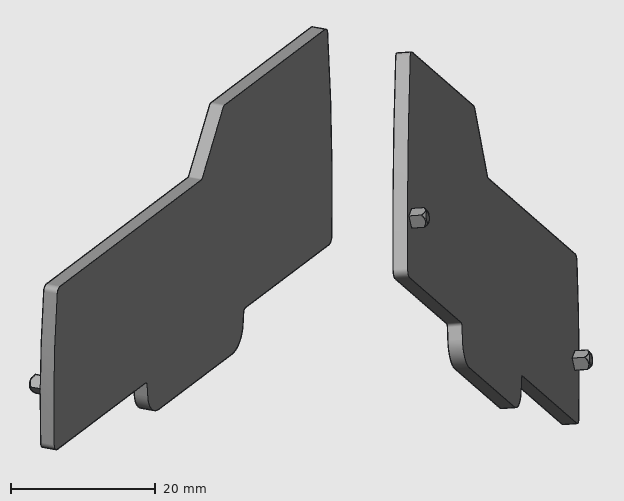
import cadquery as cq
import math

length = 87.21
height = 37.8
total_depth = 4.4
plate_thickness = 2.1
peg_length = total_depth - plate_thickness

plate_bottom_z = 5.4
shoulder_z = 29.3
bulge_z = 12.5
half_length = length / 2
tall_end_radius = 214.0
low_end_radius = 118.0

slope_top_y = 9.6
slope_bottom_y = 2.8

tab_center_y = 0.77
tab_root_half_width = 15.2
tab_tip_half_width = 14.55

top_corner_radius = 0.9
bottom_corner_radius = 1.0
slope_top_radius = 0.7
slope_bottom_radius = 0.4
tab_root_radius = 0.5
tab_tip_radius = 3.5

peg_spacing = 82.9
peg_center_y = 0.04
peg_z = 14.1
peg_diagonal = 2.8
peg_tip_radius = 0.85
peg_tip_length = 0.5


def bow(radius, z):
    """Inward offset of a bowed end edge at level z."""
    return radius - math.sqrt(radius**2 - (z - bulge_z) ** 2)


def bowed_point(side, radius, z):
    """Point on the bowed end edge; side is +1 for +Y and -1 for -Y."""
    return (side * (half_length - bow(radius, z)), z)


def make_plate():
    """Flat plate with bowed ends, a sloped step on top and a tab underneath."""
    tall_top = bowed_point(1, tall_end_radius, height)
    low_top = bowed_point(-1, low_end_radius, shoulder_z)
    tall_bottom = bowed_point(1, tall_end_radius, plate_bottom_z)
    low_bottom = bowed_point(-1, low_end_radius, plate_bottom_z)
    slope_top = (slope_top_y, height)
    slope_bottom = (slope_bottom_y, shoulder_z)
    tab_roots = [(tab_center_y + side * tab_root_half_width, plate_bottom_z) for side in (-1, 1)]
    tab_tips = [(tab_center_y + side * tab_tip_half_width, 0) for side in (-1, 1)]

    plate = (
        cq.Workplane("YZ")
        .moveTo(*tall_bottom)
        .threePointArc((half_length, bulge_z), tall_top)
        .lineTo(*slope_top)
        .lineTo(*slope_bottom)
        .lineTo(*low_top)
        .threePointArc((-half_length, bulge_z), low_bottom)
        .lineTo(*tab_roots[0])
        .lineTo(*tab_tips[0])
        .lineTo(*tab_tips[1])
        .lineTo(*tab_roots[1])
        .close()
        .extrude(plate_thickness)
    )

    corner_fillets = [
        (top_corner_radius, [tall_top, low_top]),
        (bottom_corner_radius, [tall_bottom, low_bottom]),
        (slope_top_radius, [slope_top]),
        (slope_bottom_radius, [slope_bottom]),
        (tab_root_radius, tab_roots),
        (tab_tip_radius, tab_tips),
    ]
    mid_x = plate_thickness / 2
    for radius, corners in corner_fillets:
        for y, z in corners:
            corner_edge = cq.selectors.NearestToPointSelector((mid_x, y, z))
            plate = plate.edges("|X").edges(corner_edge).fillet(radius)
    return plate


def make_peg(y):
    """Square peg on the -X face, trimmed by a cone at its free end."""
    corner_radius = peg_diagonal / 2
    bar = (
        cq.Workplane("YZ", origin=(-peg_length, y, peg_z))
        .polygon(4, peg_diagonal)
        .extrude(peg_length)
    )
    envelope = (
        cq.Workplane("XY")
        .lineTo(0, peg_tip_radius)
        .lineTo(peg_tip_length, corner_radius)
        .lineTo(peg_length, corner_radius)
        .lineTo(peg_length, 0)
        .close()
        .revolve(360, (0, 0, 0), (1, 0, 0))
        .translate((-peg_length, y, peg_z))
    )
    return bar.intersect(envelope)


result = make_plate()
for side in (-1, 1):
    result = result.union(make_peg(peg_center_y + side * peg_spacing / 2))